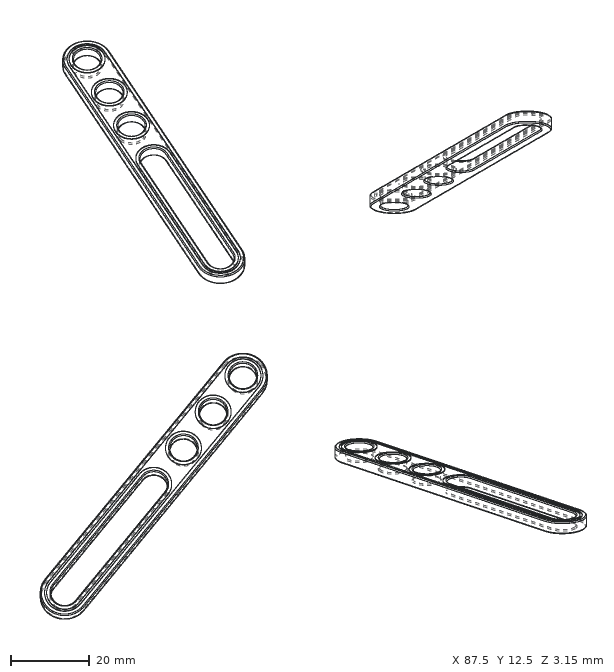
import cadquery as cq

length = 87.5
pitch_count = 7
pitch = length / pitch_count
width = pitch
thickness = 3.15
edge_chamfer = 0.3

hole_diameter = 7
rim_diameter = 9.2
round_hole_count = 3

border_width = 1.1
recess_depth = 0.2

first_hole_x = (width - length) / 2
hole_positions = [(first_hole_x + i * pitch, 0) for i in range(round_hole_count)]
slot_start_x = first_hole_x + round_hole_count * pitch
slot_end_x = -first_hole_x
slot_center_x = (slot_start_x + slot_end_x) / 2
slot_spacing = slot_end_x - slot_start_x


def openings(diameter, height):
    """Round cylinders and one slot-shaped prism, all of the given width, standing on z = 0."""
    cylinders = cq.Workplane("XY").pushPoints(hole_positions).circle(diameter / 2).extrude(height)
    slot = cq.Workplane("XY").center(slot_center_x, 0)
    slot = slot.slot2D(slot_spacing + diameter, diameter).extrude(height)
    return cylinders.union(slot)


bar = cq.Workplane("XY").slot2D(length, width).extrude(thickness)
bar = bar.cut(openings(hole_diameter, thickness))
bar = bar.faces("|Z").edges().chamfer(edge_chamfer)

recess_length = length - 2 * border_width
recess_width = width - 2 * border_width
recess = cq.Workplane("XY").slot2D(recess_length, recess_width).extrude(recess_depth)
recess = recess.cut(openings(rim_diameter, recess_depth))
recess = recess.translate((0, 0, thickness - recess_depth))

result = bar.cut(recess)